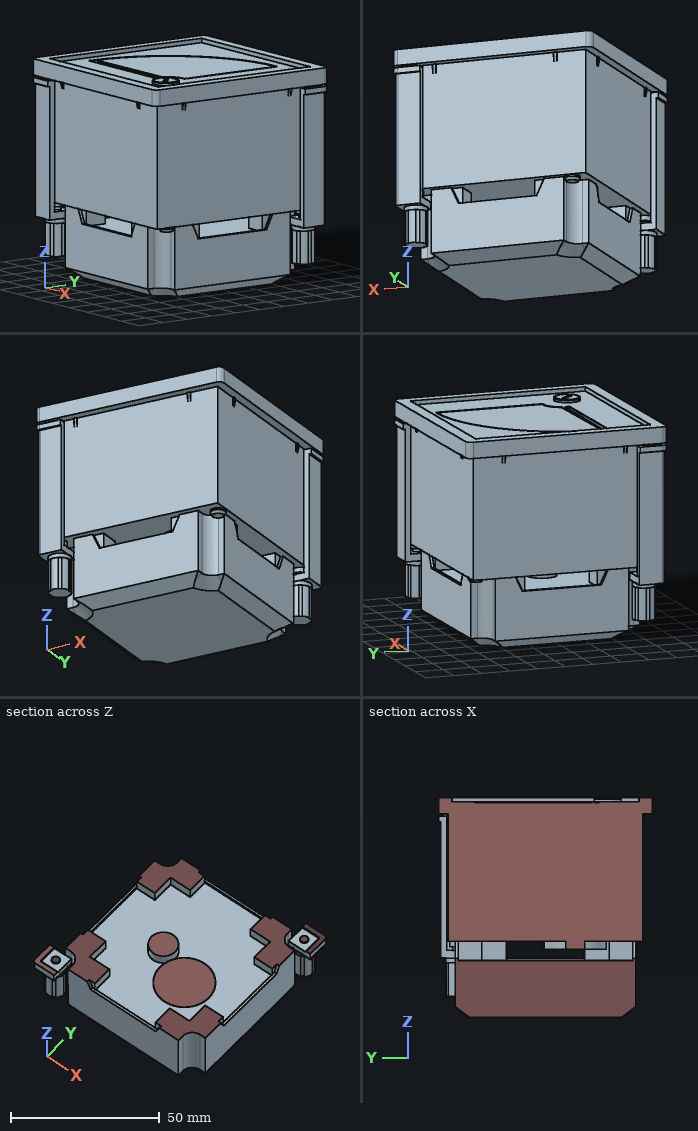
import cadquery as cq
import math


TOTAL_HEIGHT = 74.0
BEZEL_BOTTOM = 68.4
BOX_BOTTOM = 25.6
CLAMP_TOP = 67.6
CLAMP_BOTTOM = 20.0
SILL_HEIGHT = 20.0
CAVITY_FLOOR = 19.25

BEZEL_SIDE = 72.0
BEZEL_RADIUS = 2.0
BOX_SIDE = 65.4
FACE_SIDE = 62.7
FACE_DEPTH = 1.5
FACE_HEIGHT = TOTAL_HEIGHT - FACE_DEPTH

DIAL_CENTER = (16.95, -16.95)
DIAL_RADIUS = 44.0
DIAL_HUB_RADIUS = 5.9
DIAL_MARGIN = 1.1
DIAL_DEPTH = 0.2
NEEDLE_TIP_X = -25.15
NEEDLE_Y = -15.9
NEEDLE_TIP_WIDTH = 0.3
NEEDLE_ROOT_WIDTH = 1.3

ADJUSTER_CENTER = (20.9, -20.9)
ADJUSTER_RADIUS = 4.5
ADJUSTER_HEIGHT = 1.0
ADJUSTER_CHAMFER = 0.3
ADJUSTER_SLOT_LENGTH = 5.5
ADJUSTER_SLOT_WIDTH = 0.95
ADJUSTER_SLOT_DEPTH = 0.3
ADJUSTER_SLOT_ANGLE = -45

LUG_OFFSET = 21.8
LUG_WIDTH = 1.1
LUG_FLAT_HEIGHT = 1.3
LUG_HEIGHT = 3.0
LUG_PROJECTION = 0.45

STUD_CENTERS = ((29.5, -26.65), (-26.65, 29.5))
STUD_HEIGHT = 1.7
STUD_RIM_HEIGHT = 0.6
STUD_RADIUS = 2.7
STUD_TIP_RADIUS = 2.0

SHORT_TERMINAL_CENTER = (10.0, -10.0)
SHORT_TERMINAL_RADIUS = 10.5
SHORT_TERMINAL_LENGTH = 2.7
LONG_TERMINAL_CENTER = (-5.7, -1.85)
LONG_TERMINAL_RADIUS = 5.2

COVER_HALF = 30.35
NOTCH_EDGE = 23.9
NOTCH_RADIUS = 4.1
BASE_CHAMFER_HEIGHT = 3.55
BASE_CHAMFER_INSET = 4.7
CAVITY_SIDE = 42.9
WINDOW_TOP_WIDTH = 33.5
WINDOW_SILL_WIDTH = 28.1
WINDOW_DEPTH = 1.0
PASSAGE_WIDTH = 26.05

SCREW_OFFSET = 29.7
CLAMP_OUTER = 35.3
CLAMP_INNER = 33.2
CLAMP_END = 25.9
CLAMP_FLOOR_THICKNESS = 2.6
FLANGE_HEIGHT = 2.0
FLANGE_PROJECTION = BEZEL_SIDE / 2 - CLAMP_OUTER
TAB_OUTER = 34.25
TAB_END = 28.0

SHANK_RADIUS = 1.5
PRESSURE_DISC_RADIUS = 2.5
PRESSURE_DISC_HEIGHT = 1.8
COLLAR_RADIUS = 4.0
GRIP_RADIUS = 3.9
KNOB_BOTTOM = 7.0
COLLAR_HEIGHT = 1.55
FLUTE_COUNT = 6
FLUTE_RADIUS = 0.9
FLUTE_DEPTH = 0.3

QUARTER_TURNS = (0, 90, 180, 270)
HALF_TURNS = (0, 180)
ORIGIN = (0, 0, 0)
Z_AXIS = (0, 0, 1)


def turned(shape, angle):
    return shape.rotate(ORIGIN, Z_AXIS, angle)


def prism(width, length, bottom, top):
    """Upright block centred on the Z axis."""
    return cq.Workplane("XY", origin=(0, 0, bottom)).rect(width, length).extrude(top - bottom)


def cylinder(center, radius, bottom, top):
    return cq.Workplane("XY", origin=(*center, bottom)).circle(radius).extrude(top - bottom)


def dial_recess():
    """Shallow quarter ring, widened by a margin at both ends, that leaves the needle standing."""
    cx, cy = DIAL_CENTER
    right = cx + DIAL_MARGIN
    lower = cy - DIAL_MARGIN
    rim_mid = DIAL_RADIUS * math.sqrt(0.5)
    hub_mid = DIAL_HUB_RADIUS * math.sqrt(0.5)
    floor = FACE_HEIGHT - DIAL_DEPTH
    ring = (
        cq.Workplane("XY", origin=(0, 0, floor))
        .moveTo(right, cy + DIAL_HUB_RADIUS)
        .lineTo(right, cy + DIAL_RADIUS)
        .lineTo(cx, cy + DIAL_RADIUS)
        .threePointArc((cx - rim_mid, cy + rim_mid), (cx - DIAL_RADIUS, cy))
        .lineTo(cx - DIAL_RADIUS, lower)
        .lineTo(cx - DIAL_HUB_RADIUS, lower)
        .lineTo(cx - DIAL_HUB_RADIUS, cy)
        .threePointArc((cx - hub_mid, cy + hub_mid), (cx, cy + DIAL_HUB_RADIUS))
        .close()
        .extrude(DIAL_DEPTH)
    )
    needle = (
        cq.Workplane("XY", origin=(0, 0, floor))
        .polyline([
            (NEEDLE_TIP_X, NEEDLE_Y + NEEDLE_TIP_WIDTH / 2),
            (cx, NEEDLE_Y + NEEDLE_ROOT_WIDTH / 2),
            (cx, NEEDLE_Y - NEEDLE_ROOT_WIDTH / 2),
            (NEEDLE_TIP_X, NEEDLE_Y - NEEDLE_TIP_WIDTH / 2),
        ])
        .close()
        .extrude(DIAL_DEPTH)
    )
    return ring.cut(needle)


def zero_adjuster():
    """Slotted round head standing on the face."""
    top = FACE_HEIGHT + ADJUSTER_HEIGHT
    head = cylinder(ADJUSTER_CENTER, ADJUSTER_RADIUS, FACE_HEIGHT, top)
    head = head.faces(">Z").chamfer(ADJUSTER_CHAMFER)
    slot = prism(ADJUSTER_SLOT_LENGTH, ADJUSTER_SLOT_WIDTH, top - ADJUSTER_SLOT_DEPTH, top)
    slot = turned(slot, ADJUSTER_SLOT_ANGLE).translate((*ADJUSTER_CENTER, 0))
    return head.cut(slot)


def snap_lug(offset):
    """Small lug on the -Y wall, under the bezel, with a ramp on its lower part."""
    wall = -BOX_SIDE / 2
    crest = wall - LUG_PROJECTION
    return (
        cq.Workplane("YZ", origin=(offset - LUG_WIDTH / 2, 0, 0))
        .polyline([
            (wall, BEZEL_BOTTOM),
            (crest, BEZEL_BOTTOM),
            (crest, BEZEL_BOTTOM - LUG_FLAT_HEIGHT),
            (wall, BEZEL_BOTTOM - LUG_HEIGHT),
        ])
        .close()
        .extrude(LUG_WIDTH)
    )


def stud(center):
    """Round stud with a tapered tip, under a corner of the box that has no clamp."""
    return (
        cq.Workplane("XZ")
        .polyline([
            (0, BOX_BOTTOM),
            (STUD_RADIUS, BOX_BOTTOM),
            (STUD_RADIUS, BOX_BOTTOM - STUD_RIM_HEIGHT),
            (STUD_TIP_RADIUS, BOX_BOTTOM - STUD_HEIGHT),
            (0, BOX_BOTTOM - STUD_HEIGHT),
        ])
        .close()
        .revolve(360, ORIGIN, (0, 1, 0))
        .translate((*center, 0))
    )


def make_housing():
    bezel = prism(BEZEL_SIDE, BEZEL_SIDE, BEZEL_BOTTOM, TOTAL_HEIGHT)
    bezel = bezel.edges("|Z").fillet(BEZEL_RADIUS)
    body = bezel.union(prism(BOX_SIDE, BOX_SIDE, BOX_BOTTOM, BEZEL_BOTTOM))
    body = body.cut(prism(FACE_SIDE, FACE_SIDE, FACE_HEIGHT, TOTAL_HEIGHT))
    body = body.cut(dial_recess()).union(zero_adjuster())
    for center in STUD_CENTERS:
        body = body.union(stud(center))
    for angle in QUARTER_TURNS:
        for offset in (-LUG_OFFSET, LUG_OFFSET):
            body = body.union(turned(snap_lug(offset), angle))
    short_bottom = BOX_BOTTOM - SHORT_TERMINAL_LENGTH
    body = body.union(cylinder(SHORT_TERMINAL_CENTER, SHORT_TERMINAL_RADIUS, short_bottom, BOX_BOTTOM))
    body = body.union(cylinder(LONG_TERMINAL_CENTER, LONG_TERMINAL_RADIUS, CAVITY_FLOOR, BOX_BOTTOM))
    return body


def corner_notch():
    """Notch with a rounded inner corner, at (+X, +Y), that flares towards the chamfered base."""
    side = 2 * (COVER_HALF - NOTCH_EDGE)
    center = NOTCH_EDGE + side / 2
    taper = math.degrees(math.atan2(BASE_CHAMFER_INSET, BASE_CHAMFER_HEIGHT))
    outline = cq.Sketch().rect(side, side).vertices("<X and <Y").fillet(NOTCH_RADIUS)
    base = cq.Workplane("XY", origin=(center, center, BASE_CHAMFER_HEIGHT))
    upright = base.placeSketch(outline).extrude(BOX_BOTTOM - BASE_CHAMFER_HEIGHT)
    flare = base.placeSketch(outline).extrude(-BASE_CHAMFER_HEIGHT, taper=-taper)
    return upright.union(flare)


def wall_window():
    """Opening in the -Y wall: flared outside, narrower and a little deeper inside."""
    flare = (
        cq.Workplane("XZ", origin=(0, -COVER_HALF, 0))
        .polyline([
            (-WINDOW_TOP_WIDTH / 2, BOX_BOTTOM),
            (WINDOW_TOP_WIDTH / 2, BOX_BOTTOM),
            (WINDOW_SILL_WIDTH / 2, SILL_HEIGHT),
            (-WINDOW_SILL_WIDTH / 2, SILL_HEIGHT),
        ])
        .close()
        .extrude(-WINDOW_DEPTH)
    )
    passage_length = COVER_HALF - WINDOW_DEPTH
    passage = prism(PASSAGE_WIDTH, passage_length, CAVITY_FLOOR, BOX_BOTTOM)
    return flare.union(passage.translate((0, -passage_length / 2, 0)))


def make_cover():
    cover = prism(2 * COVER_HALF, 2 * COVER_HALF, 0, BOX_BOTTOM)
    cover = cover.faces("<Z").chamfer(BASE_CHAMFER_HEIGHT, BASE_CHAMFER_INSET)
    for angle in QUARTER_TURNS:
        cover = cover.cut(turned(corner_notch(), angle))
    cover = cover.cut(prism(CAVITY_SIDE, CAVITY_SIDE, CAVITY_FLOOR, BOX_BOTTOM))
    for angle in QUARTER_TURNS:
        cover = cover.cut(turned(wall_window(), angle))
    return cover


def corner_block(inner, outer, bottom, top):
    """Square block in the (+X, +Y) corner, from inner to outer along both X and Y."""
    middle = (inner + outer) / 2
    return prism(outer - inner, outer - inner, bottom, top).translate((middle, middle, 0))


def rounded_corner_block(outer, radius, bottom, top):
    return corner_block(CLAMP_END, outer, bottom, top).edges("|Z and >X and >Y").fillet(radius)


def make_clamp():
    """Corner angle with a floor, an outer flange and a thin tab reaching the bezel."""
    post = rounded_corner_block(CLAMP_OUTER, BEZEL_RADIUS - FLANGE_PROJECTION, CLAMP_BOTTOM, CLAMP_TOP)
    flange = rounded_corner_block(BEZEL_SIDE / 2, BEZEL_RADIUS, CLAMP_TOP - FLANGE_HEIGHT, CLAMP_TOP)
    tab = corner_block(TAB_END, TAB_OUTER, CLAMP_TOP, BEZEL_BOTTOM)
    inside = corner_block(CLAMP_END, CLAMP_INNER, CLAMP_BOTTOM + CLAMP_FLOOR_THICKNESS, BEZEL_BOTTOM)
    screw_hole = cylinder((SCREW_OFFSET, SCREW_OFFSET), SHANK_RADIUS, CLAMP_BOTTOM, CLAMP_TOP)
    return post.union(flange).union(tab).cut(inside).cut(screw_hole)


def make_thumb_screw():
    """Fluted knob below the clamp, with a plain shank and a disc that presses on the box."""
    axis = (0, 0)
    collar_bottom = CLAMP_BOTTOM - COLLAR_HEIGHT
    disc_bottom = BOX_BOTTOM - PRESSURE_DISC_HEIGHT
    grip = cylinder(axis, GRIP_RADIUS, KNOB_BOTTOM, collar_bottom)
    flute_center = (GRIP_RADIUS + FLUTE_RADIUS - FLUTE_DEPTH, 0)
    flute = cylinder(flute_center, FLUTE_RADIUS, KNOB_BOTTOM, collar_bottom)
    for index in range(FLUTE_COUNT):
        grip = grip.cut(turned(flute, index * 360 / FLUTE_COUNT))
    collar = cylinder(axis, COLLAR_RADIUS, collar_bottom, CLAMP_BOTTOM)
    shank = cylinder(axis, SHANK_RADIUS, CLAMP_BOTTOM, disc_bottom)
    disc = cylinder(axis, PRESSURE_DISC_RADIUS, disc_bottom, BOX_BOTTOM)
    screw = grip.union(collar).union(shank).union(disc)
    return screw.translate((SCREW_OFFSET, SCREW_OFFSET, 0))


housing = make_housing()
cover = make_cover()
clamps = [turned(make_clamp(), angle).val() for angle in HALF_TURNS]
thumb_screws = [turned(make_thumb_screw(), angle).val() for angle in HALF_TURNS]

result = cq.Compound.makeCompound([housing.val(), cover.val(), *clamps, *thumb_screws])